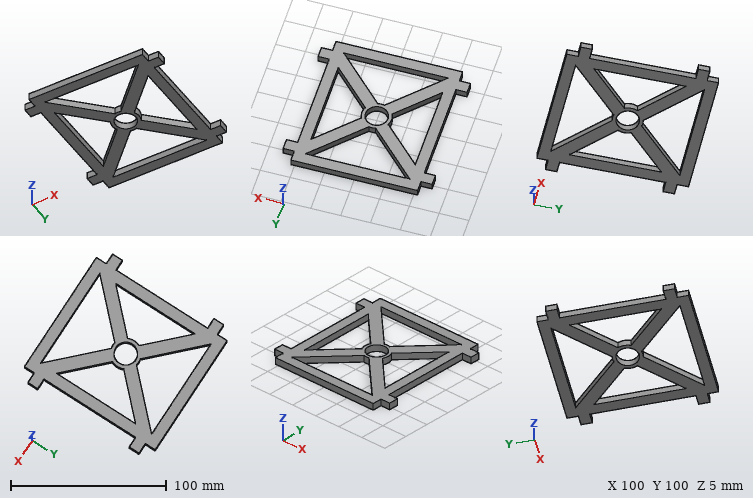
import cadquery as cq

overall_width = 100.0
frame_length = 100.0
thickness = 5.0
bar_width = 7.5
hub_diameter = 20.0
bore_diameter = 15.0
side_window_half_height = 30.3

tab_length = bar_width
frame_width = overall_width - 2 * tab_length
window_half_width = frame_width / 2 - bar_width
window_half_length = frame_length / 2 - bar_width
tab_center_y = window_half_length - bar_width / 2

end_window_apex_y = window_half_length - window_half_width
side_window_apex_x = window_half_width - side_window_half_height


def frame_plate():
    """Rectangular plate with a tab near each corner, projecting along X."""
    plate = cq.Workplane("XY").box(frame_width, frame_length, thickness)
    for y in (-tab_center_y, tab_center_y):
        plate = plate.union(
            cq.Workplane("XY").center(0, y).box(overall_width, bar_width, thickness)
        )
    return plate


def triangle_prism(points):
    """Through-thickness cutter with a triangular outline."""
    return cq.Workplane("XY").polyline(points).close().extrude(thickness / 2, both=True)


def windows():
    """Four triangular openings that leave the diagonal spokes between them."""
    cutters = []
    for side in (-1, 1):
        end_y = side * window_half_length
        end_window = triangle_prism(
            [
                (-window_half_width, end_y),
                (window_half_width, end_y),
                (0, side * end_window_apex_y),
            ]
        )
        side_x = side * window_half_width
        side_window = triangle_prism(
            [
                (side_x, -side_window_half_height),
                (side_x, side_window_half_height),
                (side * side_window_apex_x, 0),
            ]
        )
        cutters += [end_window, side_window]
    return cutters


def cylinder(diameter):
    """Full-thickness cylinder on the part's center."""
    return cq.Workplane("XY").circle(diameter / 2).extrude(thickness / 2, both=True)


result = frame_plate()
for window in windows():
    result = result.cut(window)
result = result.union(cylinder(hub_diameter)).cut(cylinder(bore_diameter))